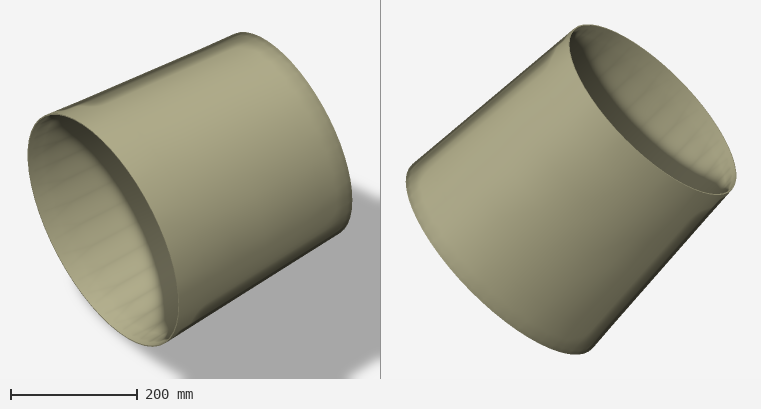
import cadquery as cq

length = 356.0
wide_diameter = 406.5
narrow_diameter = 355.5
wall_thickness = 2.0

wide_radius = wide_diameter / 2
narrow_radius = narrow_diameter / 2

wall_section = (
    cq.Workplane("XY")
    .moveTo(wide_radius, 0)
    .lineTo(narrow_radius, length)
    .lineTo(narrow_radius - wall_thickness, length)
    .lineTo(wide_radius - wall_thickness, 0)
    .close()
)

result = wall_section.revolve(360, (0, 0, 0), (0, 1, 0))